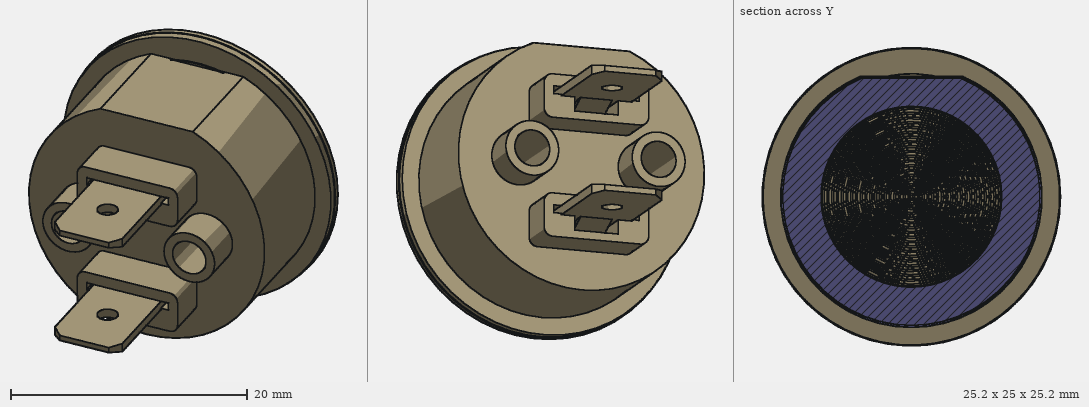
import cadquery as cq
import math


cover_diameter = 25.25
cover_thickness = 0.5
dome_radius = 8.15
dome_height = 1.67

ring_diameter = 25.1
ring_thickness = 0.73

barrel_radius = 11.05
flat_height = 10.18
barrel_length = 9.9

disc_radius = 10.4
disc_overlap = 0.13
plug_depth = 0.3
plug_wall = 0.15
groove_pitch = 0.4
groove_count = 18
groove_depth = 0.15
groove_floor = 0.15
groove_mouth = groove_floor + 2 * groove_depth / math.tan(math.radians(60))

tube_offset = 5.68
tube_radius = 2.37
tube_hole_radius = 1.57
tube_length = 3.5

block_width = 9.4
block_height = 3.8
block_length = 3.75
block_corner = 0.75
block_drop = 0.45

blade_width = 6.3
blade_thickness = 0.8
blade_reach = 8.45
blade_centres = (5.13, -5.28)
tip_chamfer = 0.85
tip_taper = 0.15
blade_hole_diameter = 1.77
blade_hole_setback = 4.57

slot_width = 7.65
slot_height = 0.68
slot_depth = 3.03
pocket_width = 3.9
pocket_height = 1.24
tang_width = 2.83
tang_drop = 1.09
tang_run = 2.52
tang_thickness = 0.38

barrel_end = -barrel_length
block_end = barrel_end - block_length
slot_floor = block_end + slot_depth
blade_tip = block_end - blade_reach


def plane_at(y):
    """Sketch plane facing +Y, with local x along -X and local y along +Z."""
    return cq.Workplane(cq.Plane(origin=(0, y, 0), xDir=(-1, 0, 0), normal=(0, 1, 0)))


def cylinder(radius, y_from, y_to, x=0.0):
    return plane_at(y_from).center(-x, 0).circle(radius).extrude(y_to - y_from)


def box(width, y_from, y_to, z_from, z_to):
    return plane_at(y_from).center(0, (z_from + z_to) / 2).rect(width, z_to - z_from).extrude(y_to - y_from)


def flatted_cylinder(radius, flat, y_from, y_to):
    """Cylinder cut off along a plane at Z = flat."""
    top = box(2 * radius, y_from, y_to, flat, radius + 0.25)
    return cylinder(radius, y_from, y_to).cut(top)


def make_cover():
    back = ring_thickness
    front = back + cover_thickness
    sphere_radius = (dome_radius**2 + dome_height**2) / (2 * dome_height)
    half_angle = math.asin(dome_radius / sphere_radius) / 2
    apex = front + dome_height
    arc_middle = (
        sphere_radius * math.sin(half_angle),
        apex - sphere_radius * (1 - math.cos(half_angle)),
    )
    profile = (
        cq.Workplane("XY")
        .moveTo(0, back)
        .lineTo(cover_diameter / 2, back)
        .lineTo(cover_diameter / 2, front)
        .lineTo(dome_radius, front)
        .threePointArc(arc_middle, (0, apex))
        .close()
    )
    return profile.revolve(360, (0, 0, 0), (0, 1, 0))


def make_ring():
    return cylinder(ring_diameter / 2, 0, ring_thickness).cut(cylinder(disc_radius, 0, ring_thickness))


def disc_blank():
    plate = cylinder(disc_radius, -disc_overlap, ring_thickness)
    plug = flatted_cylinder(barrel_radius - plug_wall, flat_height - plug_wall, -plug_depth, 0)
    return plate.union(plug)


def make_disc():
    """Disc with concentric trapezoid grooves in its back, one ridge at each multiple of the pitch."""
    disc = disc_blank()
    bottom = groove_depth - plug_depth
    for number in range(groove_count + 1):
        middle = (number + 0.5) * groove_pitch
        groove = (
            cq.Workplane("XY")
            .moveTo(middle - groove_mouth / 2, -plug_depth)
            .lineTo(middle - groove_floor / 2, bottom)
            .lineTo(middle + groove_floor / 2, bottom)
            .lineTo(middle + groove_mouth / 2, -plug_depth)
            .close()
            .revolve(360, (0, 0, 0), (0, 1, 0))
        )
        disc = disc.cut(groove)
    return disc


def terminal_block(blade_z):
    middle = blade_z - block_drop
    block = box(block_width, block_end, barrel_end, middle - block_height / 2, middle + block_height / 2)
    return block.edges("|Y").fillet(block_corner)


def terminal_slot(blade_z):
    """Slot for the blade, with side clearance, and the pocket for its tang."""
    top = blade_z + blade_thickness / 2
    bottom = blade_z - blade_thickness / 2
    slot = box(slot_width, block_end, slot_floor, top - slot_height, top)
    blade_seat = box(blade_width, block_end, slot_floor, bottom, top)
    pocket = box(pocket_width, block_end, slot_floor, bottom - pocket_height, bottom)
    return slot.union(blade_seat).union(pocket)


def make_housing():
    housing = flatted_cylinder(barrel_radius, flat_height, barrel_end, 0)
    for x in (-tube_offset, tube_offset):
        housing = housing.union(cylinder(tube_radius, barrel_end - tube_length, barrel_end, x))
    for z in blade_centres:
        housing = housing.union(terminal_block(z)).cut(terminal_slot(z))
    for x in (-tube_offset, tube_offset):
        housing = housing.cut(cylinder(tube_hole_radius, barrel_end - tube_length, 0, x))
    return housing.cut(disc_blank())


def make_blade(blade_z):
    half_width = blade_width / 2
    half_thickness = blade_thickness / 2
    outline = (
        cq.Workplane("XY", origin=(0, 0, blade_z))
        .moveTo(-half_width, slot_floor)
        .lineTo(-half_width, blade_tip + tip_chamfer)
        .lineTo(-half_width + tip_chamfer, blade_tip)
        .lineTo(half_width - tip_chamfer, blade_tip)
        .lineTo(half_width, blade_tip + tip_chamfer)
        .lineTo(half_width, slot_floor)
        .close()
        .extrude(half_thickness, both=True)
    )
    side = (
        cq.Workplane("YZ", origin=(0, 0, blade_z))
        .moveTo(slot_floor, half_thickness)
        .lineTo(blade_tip + tip_chamfer, half_thickness)
        .lineTo(blade_tip, half_thickness - tip_taper)
        .lineTo(blade_tip, tip_taper - half_thickness)
        .lineTo(blade_tip + tip_chamfer, -half_thickness)
        .lineTo(slot_floor, -half_thickness)
        .close()
        .extrude(half_width, both=True)
    )
    hole = (
        cq.Workplane("XY", origin=(0, blade_tip + blade_hole_setback, blade_z))
        .circle(blade_hole_diameter / 2)
        .extrude(half_thickness, both=True)
    )
    tang = (
        cq.Workplane("YZ", origin=(0, 0, blade_z - half_thickness))
        .moveTo(block_end, 0)
        .lineTo(block_end + tang_run, -tang_drop)
        .lineTo(block_end + tang_run, tang_thickness - tang_drop)
        .lineTo(block_end + tang_run * tang_thickness / tang_drop, 0)
        .close()
        .extrude(tang_width / 2, both=True)
    )
    return outline.intersect(side).cut(hole).union(tang)


cover = make_cover()
ring = make_ring()
disc = make_disc()
housing = make_housing()
blades = [make_blade(z) for z in blade_centres]

result = cq.Compound.makeCompound(
    [cover.val(), ring.val(), disc.val(), housing.val(), *[blade.val() for blade in blades]]
)